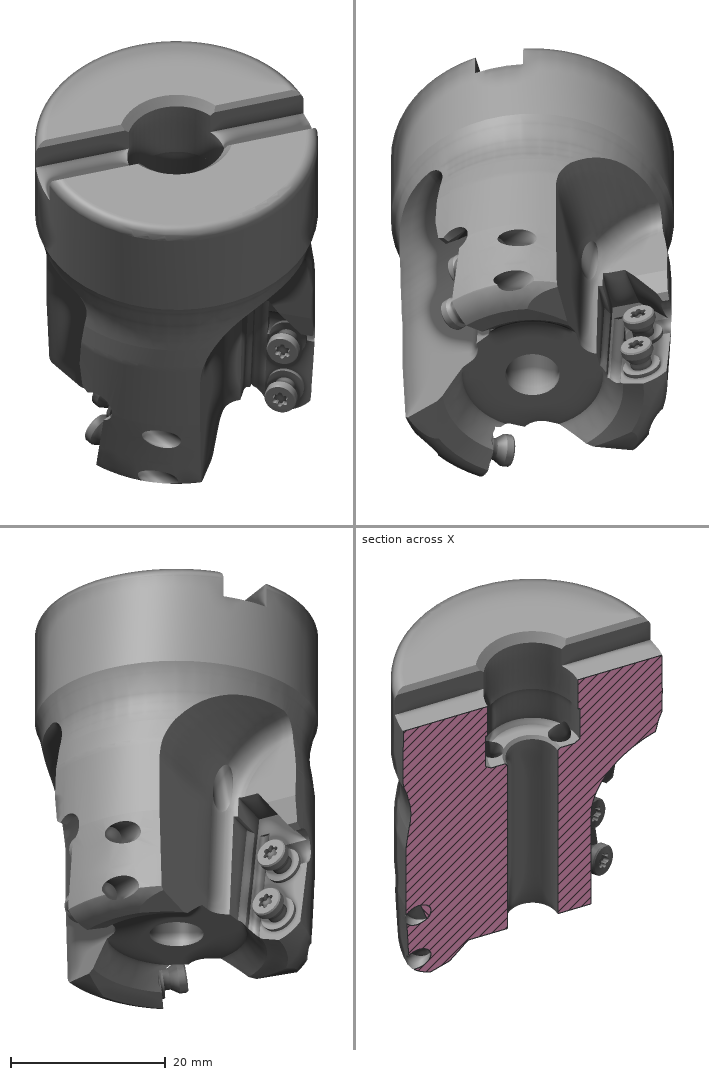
import cadquery as cq
import math

CLEAR = 30.0

OUTER_RADIUS = 18.29
HEIGHT = 47.82
TOP_ROUND = 1.5
COLLAR_BOTTOM_Z = 34.0
NECK_RADIUS = 17.2
NECK_Z = 28.9
NECK_END_RADIUS = 17.54
NECK_END_Z = 26.0
SHANK_RADIUS = 17.92
SHANK_TOP_Z = 22.5
SHOULDER_RADIUS = 17.86
SHOULDER_Z = 23.4
SHOULDER_MID_RADIUS = 17.91
SHOULDER_MID_Z = 22.95
TAPER_TOP_Z = 12.8
NOSE_RADIUS = 17.42
NOSE_Z = 2.05
NOSE_MID_RADIUS = 16.25
NOSE_MID_Z = 0.9
BOTTOM_FACE_RADIUS = 14.4

BORE_RADIUS = 6.35
BORE_DEPTH = 15.0
BORE_CHAMFER = 1.05
BORE_FLOOR_CHAMFER = 0.5
GROOVE_RADIUS = 6.6
GROOVE_DEPTH = 9.2
BOLT_HOLE_RADIUS = 3.5
BOLT_HOLE_CHAMFER = 0.4
RECESS_MOUTH_RADIUS = 11.7
RECESS_MOUTH_Z = 0.95
RECESS_TOP_RADIUS = 9.1
RECESS_DEPTH = 3.65

SLOT_WIDTH = 6.4
SLOT_DEPTH = 4.0
SLOT_CHAMFER = 0.6

FLUTE_COUNT = 3
FLUTE_FLOOR_N = 7.15
FLUTE_WALL_T = -0.2
FLUTE_RAMP_Z = 18.9
FLUTE_RAMP_RADIUS = 11.8
FLUTE_CORNER_RADIUS = 2.85
FLUTE_TILT = 4.0
HEEL_RELIEF_ANGLE = 20.0
HEEL_RELIEF_START_T = 9.5
HEEL_RELIEF_OVERRUN = 1.0

COOLANT_RADIUS = 1.5
COOLANT_START = (-0.4, 5.3, 33.0)
COOLANT_END = (-1.9, 8.1, 22.0)
COOLANT_OVERRUN = 4.0

SEAT_T, SEAT_N, SEAT_Z = 3.7, 14.0, 11.4
SEAT_TILT = 9.3
POCKET_OPEN_P = -6.0
POCKET_FLOOR_N = 8.85
POCKET_FLOOR_P = -1.8
POCKET_STEP_P = -0.75
POCKET_STEP_N = 9.4
CORNER_RELIEF_MID_N, CORNER_RELIEF_MID_P = 10.1, 0.25
POCKET_ROOT_N = 11.2
POCKET_TOP_W = 6.0
RUNOUT_FLOOR_N = 9.4
RUNOUT_TOP_W = 8.7
CEILING_POINT_N, CEILING_POINT_Z = 13.4, 19.4
CEILING_SLOPE = 52.0
LEAN_TOP_T, LEAN_TOP_Z = -0.2, 19.2
LEAN_SLOPE = 82.0
BEVEL_TOP_T, BEVEL_TOP_Z = -0.4, 16.0
BEVEL_SLOPE = 37.0
END_DRILL_RADIUS = 2.2
END_DRILL_T, END_DRILL_Z = 2.75, 13.2

SCREW_PITCH = 7.6
SCREW_HOLE_RADIUS = 1.55
SHANK_DEPTH = 4.0
FLANGE_RADIUS = 2.45
FLANGE_THICKNESS = 0.5
SCREW_NECK_RADIUS = 1.4
HEAD_RADIUS = 2.1
HEAD_FACE_RADIUS = 1.95
HEAD_FACE_HEIGHT = 3.6
HEAD_EDGE_HEIGHT = 3.4
HEAD_RIM_HEIGHT = 2.5
HEAD_BASE_HEIGHT = 1.4
SOCKET_RADIUS = 0.8
SOCKET_LOBE_RADIUS = 0.3
SOCKET_DEPTH = 0.8
SOCKET_LOBES = 6


def at(t, n, z):
    """Point or direction in the frame of the flute that faces -X."""
    return cq.Vector(-n, -t, z)


def tilted_frame(angle):
    """Across and along directions of the flute frame, leaning by an angle in the T-Z plane."""
    lean = math.radians(angle)
    across = at(math.cos(lean), 0, -math.sin(lean))
    along = at(math.sin(lean), 0, math.cos(lean))
    return across, along


OUTWARD = at(0, 1, 0)
SEAT_ACROSS, SEAT_ALONG = tilted_frame(SEAT_TILT)
SEAT_CENTRE = at(SEAT_T, SEAT_N, SEAT_Z)
SCREW_AXIS = SEAT_ACROSS * -1


def each_flute(shape):
    """Copies of a shape at every flute."""
    step = 360 / FLUTE_COUNT
    return [shape.rotate((0, 0, 0), (0, 0, 1), i * step) for i in range(FLUTE_COUNT)]


def turned_blank():
    """Turned body with its bore, bolt hole and bottom recess."""
    bore_floor_z = HEIGHT - BORE_DEPTH
    profile = (
        cq.Workplane("XZ")
        .moveTo(BOLT_HOLE_RADIUS, RECESS_DEPTH)
        .lineTo(RECESS_TOP_RADIUS, RECESS_DEPTH)
        .lineTo(RECESS_MOUTH_RADIUS, RECESS_MOUTH_Z)
        .lineTo(BOTTOM_FACE_RADIUS, 0)
        .threePointArc((NOSE_MID_RADIUS, NOSE_MID_Z), (NOSE_RADIUS, NOSE_Z))
        .lineTo(SHANK_RADIUS, TAPER_TOP_Z)
        .lineTo(SHANK_RADIUS, SHANK_TOP_Z)
        .threePointArc((SHOULDER_MID_RADIUS, SHOULDER_MID_Z), (SHOULDER_RADIUS, SHOULDER_Z))
        .lineTo(NECK_END_RADIUS, NECK_END_Z)
        .threePointArc((NECK_RADIUS, NECK_Z), (OUTER_RADIUS, COLLAR_BOTTOM_Z))
        .lineTo(OUTER_RADIUS, HEIGHT - TOP_ROUND)
        .radiusArc((OUTER_RADIUS - TOP_ROUND, HEIGHT), -TOP_ROUND)
        .lineTo(BORE_RADIUS + BORE_CHAMFER, HEIGHT)
        .lineTo(BORE_RADIUS, HEIGHT - BORE_CHAMFER)
        .lineTo(BORE_RADIUS, HEIGHT - GROOVE_DEPTH)
        .lineTo(GROOVE_RADIUS, HEIGHT - GROOVE_DEPTH)
        .lineTo(GROOVE_RADIUS, bore_floor_z + BORE_FLOOR_CHAMFER)
        .lineTo(BORE_RADIUS - BORE_FLOOR_CHAMFER, bore_floor_z)
        .lineTo(BOLT_HOLE_RADIUS + BOLT_HOLE_CHAMFER, bore_floor_z)
        .lineTo(BOLT_HOLE_RADIUS, bore_floor_z - BOLT_HOLE_CHAMFER)
        .close()
    )
    return profile.revolve(360, (0, 0, 0), (0, 1, 0))


def drive_slot():
    """Slot along Y with chamfered upper edges."""
    half = SLOT_WIDTH / 2
    return (
        cq.Workplane("XZ")
        .moveTo(-half, HEIGHT - SLOT_DEPTH)
        .lineTo(half, HEIGHT - SLOT_DEPTH)
        .lineTo(half, HEIGHT - SLOT_CHAMFER)
        .lineTo(half + SLOT_CHAMFER, HEIGHT)
        .lineTo(-half - SLOT_CHAMFER, HEIGHT)
        .lineTo(-half, HEIGHT - SLOT_CHAMFER)
        .close()
        .extrude(CLEAR, both=True)
    )


def flute_cutter():
    """Flat floor running up into a quarter-round ramp, with a rounded corner along the wall."""
    across, _ = tilted_frame(FLUTE_TILT)
    corner = at(FLUTE_WALL_T, 0, FLUTE_RAMP_Z)
    ramp_end_n = FLUTE_FLOOR_N + FLUTE_RAMP_RADIUS
    cutter = (
        cq.Workplane(cq.Plane(corner, OUTWARD, across * -1))
        .moveTo(FLUTE_FLOOR_N, -CLEAR)
        .lineTo(FLUTE_FLOOR_N, 0)
        .radiusArc((ramp_end_n, FLUTE_RAMP_RADIUS), FLUTE_RAMP_RADIUS)
        .lineTo(CLEAR, FLUTE_RAMP_RADIUS)
        .lineTo(CLEAR, -CLEAR)
        .close()
        .extrude(CLEAR)
    )
    wall = cutter.faces(cq.selectors.DirectionMinMaxSelector(across, True))
    return wall.edges().fillet(FLUTE_CORNER_RADIUS)


def coolant_hole():
    """Slanting hole that links the bore to a flute."""
    start, end = at(*COOLANT_START), at(*COOLANT_END)
    run = (end - start).normalized()
    length = (end - start).Length + 2 * COOLANT_OVERRUN
    return cq.Solid.makeCylinder(COOLANT_RADIUS, length, start - run * COOLANT_OVERRUN, run)


def half_space(point, normal):
    """Large block on the side of a plane that the normal points away from."""
    plane = cq.Plane(point, SEAT_ACROSS, normal)
    return cq.Workplane(plane).rect(2 * CLEAR, 2 * CLEAR).extrude(-2 * CLEAR)


def along_seat(profile):
    """Extrude a closed outline, drawn across and out of the pocket, along the seat in both directions."""
    plane = cq.Plane(at(SEAT_T, 0, SEAT_Z), OUTWARD, SEAT_ALONG)
    return profile(cq.Workplane(plane)).close().extrude(CLEAR, both=True)


def pocket_outline(plane):
    """Flat floor, small step, round relief and seat face."""
    return (
        plane.moveTo(POCKET_FLOOR_N, POCKET_OPEN_P)
        .lineTo(POCKET_FLOOR_N, POCKET_FLOOR_P)
        .lineTo(POCKET_STEP_N, POCKET_STEP_P)
        .threePointArc((CORNER_RELIEF_MID_N, CORNER_RELIEF_MID_P), (POCKET_ROOT_N, 0))
        .lineTo(CLEAR, 0)
        .lineTo(CLEAR, POCKET_OPEN_P)
    )


def runout_outline(plane):
    """The same seat face, with a shallower floor."""
    return (
        plane.moveTo(RUNOUT_FLOOR_N, POCKET_OPEN_P)
        .lineTo(RUNOUT_FLOOR_N, 0)
        .lineTo(CLEAR, 0)
        .lineTo(CLEAR, POCKET_OPEN_P)
    )


def below_slope(point, angle, falls_towards):
    """Half space under a plane that falls by an angle towards a level direction."""
    slope = math.radians(angle)
    return half_space(point, falls_towards * math.sin(slope) + at(0, 0, math.cos(slope)))


def insert_pocket():
    """Pocket for one insert, running out above under a sloping ceiling, a bevel and a leaning wall."""
    ceiling = below_slope(at(0, CEILING_POINT_N, CEILING_POINT_Z), CEILING_SLOPE, OUTWARD)
    bevel = below_slope(at(BEVEL_TOP_T, 0, BEVEL_TOP_Z), BEVEL_SLOPE, at(1, 0, 0))
    leaning_wall = below_slope(at(LEAN_TOP_T, 0, LEAN_TOP_Z), LEAN_SLOPE, at(1, 0, 0))
    headroom = ceiling.union(bevel).union(leaning_wall)
    pocket_top = half_space(SEAT_CENTRE + SEAT_ALONG * POCKET_TOP_W, SEAT_ALONG)
    runout_top = half_space(SEAT_CENTRE + SEAT_ALONG * RUNOUT_TOP_W, SEAT_ALONG)
    pocket = along_seat(pocket_outline).intersect(pocket_top)
    runout = along_seat(runout_outline).intersect(runout_top)
    return pocket.union(runout).intersect(headroom).val()


def end_drill():
    """Radial clearance hole at the top end of the seat."""
    start = at(END_DRILL_T, POCKET_ROOT_N, END_DRILL_Z)
    return cq.Solid.makeCylinder(END_DRILL_RADIUS, CLEAR, start, OUTWARD)


def heel_relief():
    """Wedge that lifts the bottom of a lobe towards its trailing end."""
    rise = (CLEAR - HEEL_RELIEF_START_T) * math.tan(math.radians(HEEL_RELIEF_ANGLE))
    plane = cq.Plane((0, 0, 0), at(1, 0, 0), OUTWARD)
    wedge = [
        (HEEL_RELIEF_START_T, 0),
        (CLEAR, rise),
        (CLEAR, -HEEL_RELIEF_OVERRUN),
        (HEEL_RELIEF_START_T, -HEEL_RELIEF_OVERRUN),
    ]
    return cq.Workplane(plane).polyline(wedge).close().extrude(CLEAR).val()


def screw_points():
    """Screw centres on the seat face, one below the other."""
    return [SEAT_CENTRE, SEAT_CENTRE - SEAT_ALONG * SCREW_PITCH]


def screw_hole(point):
    """Hole square to the seat, through the lobe."""
    return cq.Solid.makeCylinder(SCREW_HOLE_RADIUS, CLEAR / 2, point, SCREW_AXIS * -1)


def make_screw(point):
    """Flanged screw with a lobed socket, standing on the seat face."""
    outline = [
        (0, -SHANK_DEPTH),
        (SCREW_HOLE_RADIUS, -SHANK_DEPTH),
        (SCREW_HOLE_RADIUS, 0),
        (FLANGE_RADIUS, 0),
        (FLANGE_RADIUS, FLANGE_THICKNESS),
        (SCREW_NECK_RADIUS, FLANGE_THICKNESS),
        (SCREW_NECK_RADIUS, HEAD_BASE_HEIGHT),
        (HEAD_RADIUS, HEAD_RIM_HEIGHT),
        (HEAD_RADIUS, HEAD_EDGE_HEIGHT),
        (HEAD_FACE_RADIUS, HEAD_FACE_HEIGHT),
        (0, HEAD_FACE_HEIGHT),
    ]
    axial = cq.Plane(point, SEAT_ALONG, SEAT_ALONG.cross(SCREW_AXIS))
    turned = cq.Workplane(axial).polyline(outline).close().revolve(360, (0, 0, 0), (0, 1, 0))
    face = cq.Workplane(cq.Plane(point, SEAT_ALONG, SCREW_AXIS)).workplane(offset=HEAD_FACE_HEIGHT)
    socket = face.circle(SOCKET_RADIUS).extrude(-SOCKET_DEPTH)
    lobes = (
        face.polarArray(SOCKET_RADIUS, 0, 360, SOCKET_LOBES)
        .circle(SOCKET_LOBE_RADIUS)
        .extrude(-SOCKET_DEPTH)
    )
    return turned.cut(socket).cut(lobes).val()


def make_cutter_body():
    """Turned blank with the drive slot, and every flute feature cut around the axis."""
    features = [flute_cutter().val(), coolant_hole(), insert_pocket(), end_drill(), heel_relief()]
    features += [screw_hole(point) for point in screw_points()]
    body = turned_blank().cut(drive_slot())
    for feature in features:
        for copy in each_flute(feature):
            body = body.cut(cq.Workplane(copy))
    return body.solids().val()


cutter_body = make_cutter_body()
screws = [copy for point in screw_points() for copy in each_flute(make_screw(point))]
result = cq.Compound.makeCompound([cutter_body, *screws])